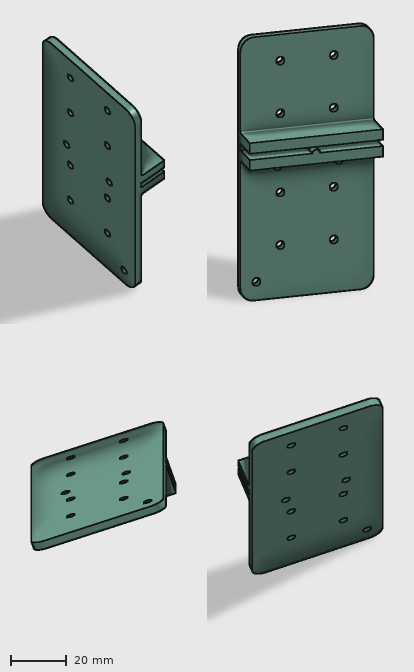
import cadquery as cq

plate_width = 50.0
plate_height = 100.0
plate_thickness = 3.0
corner_radius = 5.0

total_depth = 14.0
jaw_thickness = 4.0
ledge_top = 14.0
slot_height = 2.4
root_fillet = 1.0

ridge_radius = 1.5
ridge_height = 1.4

slot_top = ledge_top - jaw_thickness
slot_bottom = slot_top - slot_height
ledge_bottom = slot_bottom - jaw_thickness

hole_diameter = 3.0
grid_half_spacing = 10.0
grid_row_heights = (40.0, 20.0, -10.0, -30.0)
middle_holes = [(-12.0, 0.0), (11.0, 0.0)]
corner_hole = (19.0, -43.0)


def make_plate():
    plate = cq.Workplane("XY").box(plate_width, plate_thickness, plate_height, centered=(True, False, True))
    return plate.edges("|Y").fillet(corner_radius)


def make_ledge():
    """Solid ledge along the full width, with concave fillets where it meets the plate."""
    root = plate_thickness
    return (
        cq.Workplane("YZ", origin=(-plate_width / 2, 0, 0))
        .moveTo(root, ledge_bottom - root_fillet)
        .radiusArc((root + root_fillet, ledge_bottom), root_fillet)
        .lineTo(total_depth, ledge_bottom)
        .lineTo(total_depth, ledge_top)
        .lineTo(root + root_fillet, ledge_top)
        .radiusArc((root, ledge_top + root_fillet), root_fillet)
        .lineTo(0, ledge_top + root_fillet)
        .lineTo(0, ledge_bottom - root_fillet)
        .close()
        .extrude(plate_width)
    )


def make_slot():
    """Slot between the jaws, open at the back and at both ends."""
    return cq.Workplane("XY").box(
        plate_width, total_depth - plate_thickness, slot_height, centered=(True, False, False)
    ).translate((0, plate_thickness, slot_bottom))


def make_ridge():
    """Cylinder sunk into the lower jaw so that only its crown stands in the slot."""
    centre_height = slot_bottom + ridge_height - ridge_radius
    return (
        cq.Workplane("XZ", origin=(0, plate_thickness, centre_height))
        .circle(ridge_radius)
        .extrude(-(total_depth - plate_thickness))
    )


def make_holes():
    grid_holes = [
        (side * grid_half_spacing, height)
        for height in grid_row_heights
        for side in (-1, 1)
    ]
    return (
        cq.Workplane("XZ")
        .pushPoints(grid_holes + middle_holes + [corner_hole])
        .circle(hole_diameter / 2)
        .extrude(-plate_thickness)
    )


result = make_plate().union(make_ledge()).cut(make_slot()).union(make_ridge()).cut(make_holes())